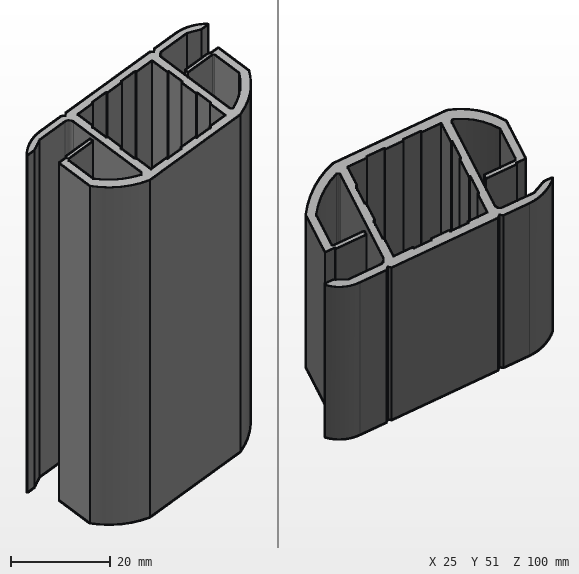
import cadquery as cq
import math

length = 100.0
width = 25.0
half_width = width / 2
wall = 2.0
total_depth = 51.0

bore_half = half_width - wall
recess_depth = 0.3
recess_start = 2.1
recess_width = 4.0

lip_thickness = 1.6
lip_inner_x = lip_thickness - half_width
lip_tip_x = -9.6
lip_tip_y = total_depth / 2
lip_tip_flat = 0.3
lip_arc_start_y = 19.0
lip_inner_bend_y = 20.8
lip_tip_inner_y = 23.6
lip_root_radius = 1.2

flange_y = 22.5
flange_thickness = 1.9
flange_under_y = flange_y - flange_thickness
flange_start_x = -3.7
arc_center_x = -4.6
arc_center_y = 7.5
arc_radius = 17.9
curved_wall = 2.1
arm_outer_x = -4.0
arm_inner_x = -3.1
arm_end_y = 13.4
arm_step_y = 20.3
arm_corner_radius = 0.3
pocket_corner_radius = 0.5

groove_depth = 0.5
groove_half_width = 0.6


def extrude(profile):
    """Extrude a closed profile along the whole rail."""
    return profile.extrude(length)


def both_sides(solid):
    """Combine a solid with its mirror image across the XZ plane."""
    return solid.union(solid.mirror("XZ"))


def arc_x(radius, y):
    """X of the curved wall at height y."""
    return arc_center_x + math.sqrt(radius**2 - (y - arc_center_y) ** 2)


def arc_y(radius, x):
    """Y of the curved wall at position x."""
    return arc_center_y + math.sqrt(radius**2 - (x - arc_center_x) ** 2)


def make_bore():
    bore = extrude(cq.Workplane("XY").rect(2 * bore_half, 2 * bore_half))
    recess_span = 2 * (bore_half + recess_depth)
    recess_center = recess_start + recess_width / 2
    for offset in (-recess_center, recess_center):
        bore = bore.union(extrude(cq.Workplane("XY").center(offset, 0).rect(recess_width, recess_span)))
        bore = bore.union(extrude(cq.Workplane("XY").center(0, offset).rect(recess_span, recess_width)))
    return bore


def make_lip():
    return extrude(
        cq.Workplane("XY")
        .moveTo(lip_inner_x, bore_half)
        .lineTo(-half_width, bore_half)
        .lineTo(-half_width, lip_arc_start_y)
        .tangentArcPoint((lip_tip_x - lip_tip_flat, lip_tip_y), relative=False)
        .lineTo(lip_tip_x, lip_tip_y)
        .lineTo(lip_tip_x, lip_tip_inner_y)
        .lineTo(lip_inner_x, lip_inner_bend_y)
        .close()
    )


def make_hook():
    inner_radius = arc_radius - curved_wall
    outer_start = (arc_x(arc_radius, flange_y), flange_y)
    outer_end = (half_width, arc_y(arc_radius, half_width))
    inner_start = (arc_x(inner_radius, half_width), half_width)
    inner_end = (arc_x(inner_radius, flange_under_y), flange_under_y)
    middle_y = (flange_y + half_width) / 2
    return extrude(
        cq.Workplane("XY")
        .moveTo(flange_start_x, flange_y)
        .lineTo(*outer_start)
        .threePointArc((arc_x(arc_radius, middle_y), middle_y), outer_end)
        .lineTo(half_width, bore_half)
        .lineTo(inner_start[0], bore_half)
        .lineTo(*inner_start)
        .threePointArc((arc_x(inner_radius, middle_y), middle_y), inner_end)
        .lineTo(arm_inner_x, flange_under_y)
        .lineTo(arm_inner_x, arm_end_y)
        .lineTo(arm_outer_x, arm_end_y)
        .lineTo(arm_outer_x, arm_step_y)
        .lineTo(flange_start_x, arm_step_y)
        .close()
    )


def make_groove():
    return extrude(
        cq.Workplane("XY")
        .moveTo(-half_width, half_width - groove_half_width)
        .lineTo(-half_width + groove_depth, half_width)
        .lineTo(-half_width, half_width + groove_half_width)
        .close()
    )


def round_corners(body):
    """Round the inside corners of the lip channel, the pocket and the arm."""
    corners = (
        (lip_inner_x, half_width, lip_root_radius),
        (arc_x(arc_radius - curved_wall, half_width), half_width, pocket_corner_radius),
        (arm_inner_x, flange_under_y, arm_corner_radius),
    )
    for x, y, radius in corners:
        for side in (-1, 1):
            corner = cq.selectors.NearestToPointSelector((x, side * y, length / 2))
            body = body.edges("|Z").edges(corner).fillet(radius)
    return body


tube = extrude(cq.Workplane("XY").rect(width, width))
body = tube.union(both_sides(make_lip())).union(both_sides(make_hook()))
body = round_corners(body)
result = body.cut(make_bore()).cut(both_sides(make_groove()))